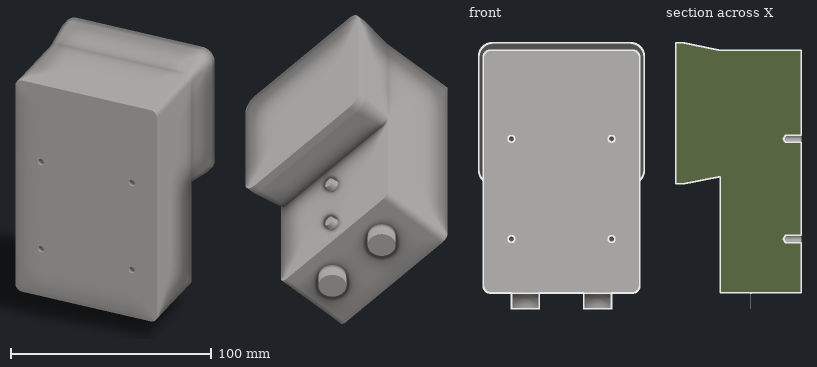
import cadquery as cq
import math


body_width = 78.2
body_depth = 40.7
body_height = 121.3
body_corner_radius = 3.8

hood_width = 82.75
hood_height = 70.5
hood_corner_radius = 7.0
hood_rim_depth = 4.4
hood_overhang = 3.7
overall_depth = 63.0
hood_root_height = 63.3
hood_root_radius = body_corner_radius
hood_flare_depth = overall_depth - body_depth - hood_rim_depth

gland_diameter = 14.0
gland_length = 7.9
gland_spacing = 36.0
gland_center_y = 25.4

button_root_diameter = 6.1
button_tip_diameter = 5.2
button_length = 4.0
button_heights = (11.0, 41.2)

hole_diameter = 3.3
hole_depth = 8.0
drill_tip_angle = 118.0
hole_pitch = 50.0
hole_center_z = 52.0


def y_plane(y, z=0.0):
    """Sketch plane at depth y, extruding toward +Y."""
    return cq.Workplane(cq.Plane(origin=(0, y, z), xDir=(1, 0, 0), normal=(0, 1, 0)))


def rounded_rectangle(width, height, radius):
    return cq.Sketch().rect(width, height).vertices().fillet(radius)


def make_body():
    profile = rounded_rectangle(body_width, body_height, body_corner_radius)
    return y_plane(0, body_height / 2).placeSketch(profile).extrude(body_depth)


def make_hood():
    """Straight rim joined to the housing by a flare; the flare root is flush with the housing top."""
    rim_center_z = body_height + hood_overhang - hood_height / 2
    root_center_z = body_height - hood_root_height / 2
    rim_y = body_depth + hood_flare_depth
    rise = rim_center_z - root_center_z
    root = rounded_rectangle(body_width, hood_root_height, hood_root_radius)
    rim = rounded_rectangle(hood_width, hood_height, hood_corner_radius)
    raised_rim = rim.moved(cq.Location(cq.Vector(0, -rise, hood_flare_depth)))
    flare = y_plane(body_depth, root_center_z).placeSketch(root, raised_rim).loft()
    return flare.union(y_plane(rim_y, rim_center_z).placeSketch(rim).extrude(hood_rim_depth))


def make_glands():
    centers = [(side * gland_spacing / 2, gland_center_y) for side in (-1, 1)]
    return cq.Workplane("XY").pushPoints(centers).circle(gland_diameter / 2).extrude(-gland_length)


def make_button(z):
    root = y_plane(body_depth, z).circle(button_root_diameter / 2)
    return root.workplane(offset=button_length).circle(button_tip_diameter / 2).loft()


def make_drilled_hole(x, z):
    """Solid of one drilled hole: a straight bore ending in a conical drill tip."""
    radius = hole_diameter / 2
    tip_depth = hole_depth + radius / math.tan(math.radians(drill_tip_angle / 2))
    half_section = [(0, 0), (radius, 0), (radius, hole_depth), (0, tip_depth)]
    return cq.Workplane("XY").polyline(half_section).close().revolve(360, (0, 0), (0, 1)).translate((x, 0, z))


result = make_body().union(make_hood()).union(make_glands())
for button_z in button_heights:
    result = result.union(make_button(button_z))
for x_side in (-1, 1):
    for z_side in (-1, 1):
        hole_x = x_side * hole_pitch / 2
        hole_z = hole_center_z + z_side * hole_pitch / 2
        result = result.cut(make_drilled_hole(hole_x, hole_z))